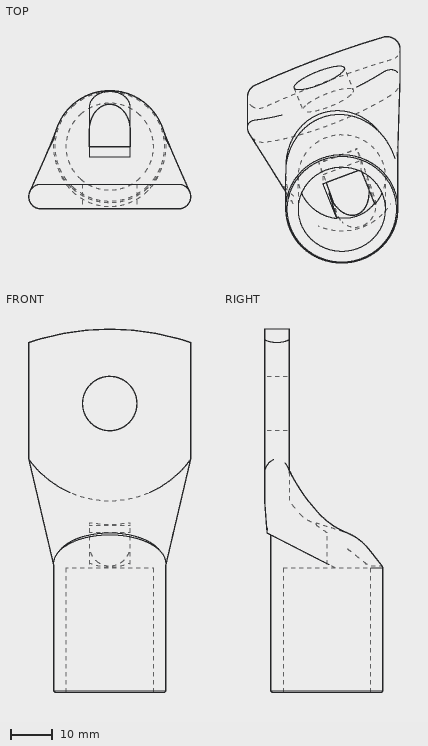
import cadquery as cq
import math


barrel_radius = 27.0 / 2
bore_radius = 21 / 2
mouth_chamfer = 0.35

total_height = 87.4
total_depth = 28.5

palm_width = 39.0
palm_thickness = 5.9
palm_front = barrel_radius - total_depth
palm_back = palm_front + palm_thickness
palm_middle = palm_front + palm_thickness / 2
edge_radius = palm_thickness / 2
flat_half = palm_width / 2 - edge_radius
tip_drop = 3.2
palm_root = 46.05
root_radius = 23.85
stud_diameter = 13.0
stud_height = 69.5

overshoot = 0.9

shoulder_height = 30.0
shoulder_front = 2.0
lip_height = 38.4
lip_front = -14.4
back_corner_y = 5.3
front_corner_y = -5.9
swells = [(0.12, 2.6, 1.9), (0.5, 1.05, 1.7)]

same_point = 0.001
sewing_gap = 0.01

slot_radius = 4.9
slot_bottom = 30.4
slot_end_y = -2.5
cavity_back_height = 30.15
cavity_ridge_height = 38.45
slot_end_z = 40.2


def barrel_point(y, side):
    """Point on the barrel outline at the given y, on the side +1 or -1."""
    return (side * math.sqrt(barrel_radius**2 - y**2), y)


def make_barrel():
    """Round barrel with a chamfered mouth, its top trimmed to the underside of the neck."""
    cylinder = cq.Workplane("XY").circle(barrel_radius).extrude(total_height).faces("<Z").chamfer(mouth_chamfer)
    return make_footprint().intersect(cylinder)


def make_palm():
    """Plate with round long edges, an arched tip and a round root; each long edge is two quarter rounds."""
    half_width = palm_width / 2
    quarter = edge_radius * math.sqrt(0.5)
    plate = (
        cq.Workplane("XY")
        .moveTo(-flat_half, palm_front)
        .lineTo(flat_half, palm_front)
        .threePointArc((flat_half + quarter, palm_middle - quarter), (half_width, palm_middle))
        .threePointArc((flat_half + quarter, palm_middle + quarter), (flat_half, palm_back))
        .lineTo(-flat_half, palm_back)
        .threePointArc((-flat_half - quarter, palm_middle + quarter), (-half_width, palm_middle))
        .threePointArc((-flat_half - quarter, palm_middle - quarter), (-flat_half, palm_front))
        .close()
        .extrude(total_height, clean=False)
    )
    reach = half_width + overshoot
    root_edge = palm_root + root_radius - math.sqrt(root_radius**2 - reach**2)
    tip_radius = (half_width**2 + tip_drop**2) / (2 * tip_drop)
    tip_edge = total_height - tip_radius + math.sqrt(tip_radius**2 - reach**2)
    outline = (
        cq.Workplane("XZ", origin=(0, palm_back + overshoot, 0))
        .moveTo(-reach, root_edge)
        .threePointArc((0, palm_root), (reach, root_edge))
        .lineTo(reach, tip_edge)
        .threePointArc((0, total_height), (-reach, tip_edge))
        .close()
        .extrude(palm_thickness + 2 * overshoot)
    )
    return plate.intersect(outline, clean=False)


def make_footprint():
    """Column with the neck's footprint, topped by a flat shoulder and a plane rising to the front lip."""
    back_left = barrel_point(back_corner_y, -1)
    front_left = barrel_point(front_corner_y, -1)
    front_right = barrel_point(front_corner_y, 1)
    back_right = barrel_point(back_corner_y, 1)
    column = (
        cq.Workplane("XY")
        .moveTo(*back_left)
        .threePointArc((-barrel_radius, 0), front_left)
        .threePointArc((0, lip_front), front_right)
        .threePointArc((barrel_radius, 0), back_right)
        .threePointArc((0, barrel_radius), back_left)
        .close()
        .extrude(total_height, clean=False)
    )
    front_slope = (lip_height - shoulder_height) / (shoulder_front - lip_front)
    side_profile = (
        cq.Workplane("YZ", origin=(-palm_width / 2, 0, 0))
        .polyline([
            (barrel_radius + overshoot, 0),
            (barrel_radius + overshoot, shoulder_height),
            (shoulder_front, shoulder_height),
            (lip_front - overshoot, lip_height + front_slope * overshoot),
            (lip_front - overshoot, 0),
        ])
        .close()
        .extrude(palm_width)
    )
    return column.intersect(side_profile, clean=False)


def nearest_vertex(shapes, x, y):
    """Corner of the given faces whose plan position is closest to (x, y)."""
    corners = [v for face in shapes for v in face.Vertices()]
    return min(corners, key=lambda v: math.hypot(v.X - x, v.Y - y)).Center()


def edge_between(shapes, a, b):
    """Edge of the given faces that runs between corners a and b."""
    for face in shapes:
        for edge in face.Edges():
            ends = (edge.startPoint(), edge.endPoint())
            same_way = (ends[0] - a).Length + (ends[1] - b).Length
            other_way = (ends[0] - b).Length + (ends[1] - a).Length
            if min(same_way, other_way) < same_point:
                return edge


def point_along(edge, start, share):
    """Point at a share of the edge's length, counted from the end at start."""
    runs_forward = (edge.startPoint() - start).Length < same_point
    return edge.positionAt(share if runs_forward else 1 - share)


def make_swell(low_edge, low, high_edge, high, position, rises):
    """Edge part of the way from low to high edge, lifted by the given rises at even steps."""
    points = []
    for step, rise in enumerate(rises):
        share = step / (len(rises) - 1)
        bottom = point_along(low_edge, low, share)
        top = point_along(high_edge, high, share)
        points.append(bottom + (top - bottom) * position + cq.Vector(0, 0, rise))
    return cq.Edge.makeSpline(points)


def make_neck_and_palm():
    """Palm joined to a smooth skin that sweeps from the barrel footprint to the palm root."""
    palm_faces = make_palm().faces().vals()
    root = [face for face in palm_faces if face.normalAt().z < -0.5]
    palm_walls = [face for face in palm_faces if face.normalAt().z >= -0.5]
    base = [face for face in make_footprint().faces().vals() if face.normalAt().z > 0.5]

    right_stations = [
        (barrel_point(back_corner_y, 1), (flat_half, palm_back)),
        (barrel_point(shoulder_front, 1), (palm_width / 2, palm_middle)),
        (barrel_point(front_corner_y, 1), (flat_half, palm_front)),
    ]
    left_stations = [((-low[0], low[1]), (-high[0], high[1])) for low, high in right_stations]
    stations = right_stations + left_stations[::-1]
    lows = [nearest_vertex(base, *low) for low, high in stations]
    highs = [nearest_vertex(root, *high) for low, high in stations]
    pairs = [(i, (i + 1) % len(stations)) for i in range(len(stations))]
    low_edges = [edge_between(base, lows[i], lows[j]) for i, j in pairs]
    high_edges = [edge_between(root, highs[i], highs[j]) for i, j in pairs]

    section_edges = [low_edges]
    for position, crown, corner in swells:
        near_crown = corner + (crown - corner) * 0.75
        rises_by_side = [
            (corner, corner * 0.75, corner / 2, corner / 4, 0),
            (0, 0, 0, 0, 0),
            (0, 0, 0, 0, 0),
            (0, 0, 0, 0, 0),
            (0, corner / 4, corner / 2, corner * 0.75, corner),
            (corner, near_crown, crown, near_crown, corner),
        ]
        section_edges.append([
            make_swell(low_edges[i], lows[i], high_edges[i], highs[i], position, rises)
            for i, rises in enumerate(rises_by_side)
        ])
    section_edges.append(high_edges)

    sections = [cq.Wire.assembleEdges(edges) for edges in section_edges]
    skin = cq.occ_impl.shapes.loft(sections, parametrization="chordal")
    sewn = cq.occ_impl.shapes.shell(*skin.Faces(), *base, *palm_walls, tol=sewing_gap)
    return cq.Workplane(cq.Solid.makeSolid(sewn))


def make_cavity():
    """Bore up to the shoulder, with a slot-wide pocket that follows the sloping back above it."""
    bore = cq.Workplane("XY").circle(bore_radius).extrude(shoulder_height)
    column = cq.Workplane("XY").circle(bore_radius).extrude(cavity_ridge_height)
    roof = (
        cq.Workplane("YZ", origin=(-slot_radius, 0, 0))
        .polyline([
            (0, 0),
            (bore_radius, 0),
            (bore_radius, cavity_back_height),
            (0, cavity_ridge_height),
        ])
        .close()
        .extrude(2 * slot_radius)
    )
    return bore.union(column.intersect(roof))


def make_slot():
    """Round-bottomed slot from the back, ending on a ramp that leads down into the cavity."""
    bottom_center = slot_bottom + slot_radius
    opening = (
        cq.Workplane("XZ", origin=(0, barrel_radius, 0))
        .moveTo(-slot_radius, bottom_center)
        .threePointArc((0, slot_bottom), (slot_radius, bottom_center))
        .lineTo(slot_radius, palm_root)
        .lineTo(-slot_radius, palm_root)
        .close()
        .extrude(barrel_radius - slot_end_y)
    )
    ramp = (
        cq.Workplane("YZ", origin=(-slot_radius, 0, 0))
        .polyline([
            (barrel_radius, slot_bottom),
            (0, slot_bottom),
            (0, cavity_ridge_height),
            (slot_end_y, slot_end_z),
            (slot_end_y, palm_root),
            (barrel_radius, palm_root),
        ])
        .close()
        .extrude(2 * slot_radius)
    )
    return opening.intersect(ramp)


def make_stud_hole():
    return (
        cq.Workplane("XZ", origin=(0, palm_back, 0))
        .center(0, stud_height)
        .circle(stud_diameter / 2)
        .extrude(palm_thickness)
    )


result = make_barrel().union(make_neck_and_palm())
result = result.cut(make_stud_hole()).cut(make_cavity()).cut(make_slot())